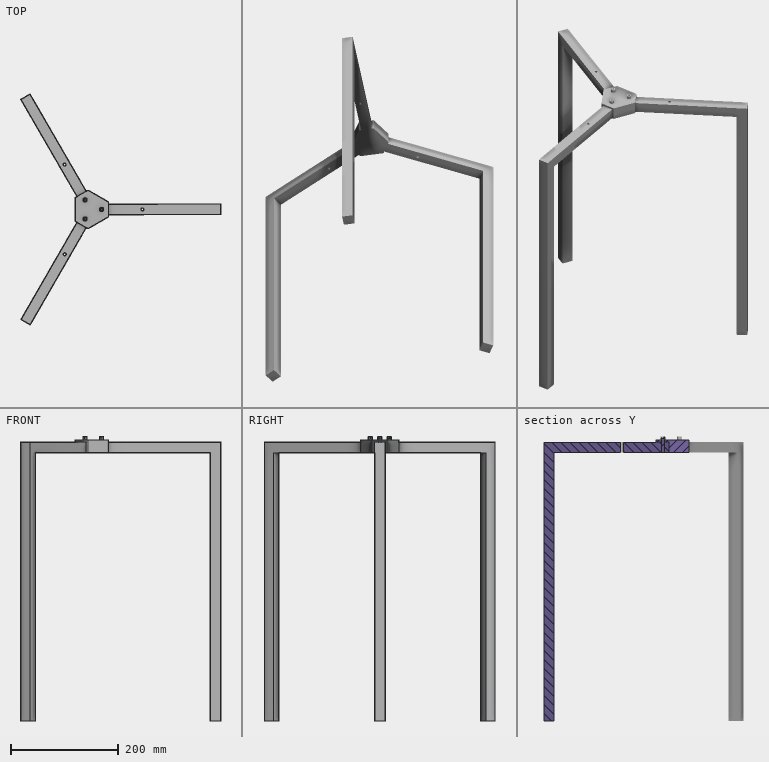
import cadquery as cq
import math

leg_count = 3
leg_angle = 360 / leg_count
first_leg_angle = 0.045

section = 20.0
leg_height = 520.0
leg_reach = 242.49
arm_start = 10.0
arm_hole_radius = 96.5
arm_hole_diameter = 5.0

plate_thickness = 4.0
wall_thickness = 4.0
triangle_side = 100.0
corner_fillet = 2.0
half_short_face = section / 2 + wall_thickness
long_face_distance = triangle_side / (2 * math.sqrt(3))
short_face_distance = 2 * long_face_distance - half_short_face * math.sqrt(3)
arm_underside = leg_height - section
plate_top = leg_height + plate_thickness

bolt_radius = 20.5
shank_diameter = 5.0
head_diameter = 8.0
head_height = 6.0
head_chamfer = 0.5
socket_width_across_corners = 4.0
socket_depth = 3.0
bolt_top = plate_top + head_height


def turned(body, index):
    """Turn a body made along +X to the place of the leg with this index."""
    angle = first_leg_angle + index * leg_angle
    return body.rotate((0, 0, 0), (0, 0, 1), angle)


def vertical_cylinder(radius_from_axis, diameter, bottom, top):
    return (
        cq.Workplane("XY", origin=(radius_from_axis, 0, bottom))
        .circle(diameter / 2)
        .extrude(top - bottom)
    )


def make_leg():
    """Horizontal arm and vertical leg in one piece, drilled for the bolt and a small through hole."""
    profile = [
        (arm_start, arm_underside),
        (leg_reach - section, arm_underside),
        (leg_reach - section, 0),
        (leg_reach, 0),
        (leg_reach, leg_height),
        (arm_start, leg_height),
    ]
    leg = cq.Workplane("XZ").polyline(profile).close().extrude(section / 2, both=True)
    arm_hole = vertical_cylinder(arm_hole_radius, arm_hole_diameter, arm_underside, leg_height)
    bolt_hole = vertical_cylinder(bolt_radius, shank_diameter, arm_underside, leg_height)
    return leg.cut(arm_hole).cut(bolt_hole)


def make_cap():
    """Six-sided block with a channel under its plate for each arm and a hole for each bolt."""
    corner_radius = math.hypot(short_face_distance, half_short_face)
    corner_angle = math.degrees(math.atan2(half_short_face, short_face_distance))
    corners = []
    for index in range(leg_count):
        for side in (-1, 1):
            angle = math.radians(index * leg_angle + side * corner_angle)
            corners.append((corner_radius * math.cos(angle), corner_radius * math.sin(angle)))
    cap = (
        cq.Workplane("XY", origin=(0, 0, arm_underside))
        .polyline(corners)
        .close()
        .extrude(plate_top - arm_underside)
        .edges("|Z")
        .fillet(corner_fillet)
    )
    cap = turned(cap, 0)
    channel = cq.Workplane("XY", origin=(arm_start, 0, arm_underside)).box(
        short_face_distance - arm_start, section, section, centered=(False, True, False)
    )
    bolt_hole = vertical_cylinder(bolt_radius, shank_diameter, leg_height, plate_top)
    for index in range(leg_count):
        cap = cap.cut(turned(channel, index)).cut(turned(bolt_hole, index))
    return cap


def make_bolt():
    """Cap screw: plain shank through cap and arm, chamfered round head on the cap, hexagon socket."""
    shank = vertical_cylinder(bolt_radius, shank_diameter, arm_underside, plate_top)
    head = vertical_cylinder(bolt_radius, head_diameter, plate_top, bolt_top)
    head = head.faces(">Z").chamfer(head_chamfer)
    socket = (
        cq.Workplane("XY", origin=(bolt_radius, 0, bolt_top - socket_depth))
        .polygon(6, socket_width_across_corners)
        .extrude(socket_depth)
    )
    return shank.union(head).cut(socket)


cap = make_cap()
leg = make_leg()
bolt = make_bolt()
legs = [turned(leg, index).val() for index in range(leg_count)]
bolts = [turned(bolt, index).val() for index in range(leg_count)]

result = cq.Compound.makeCompound([cap.val(), *legs, *bolts])